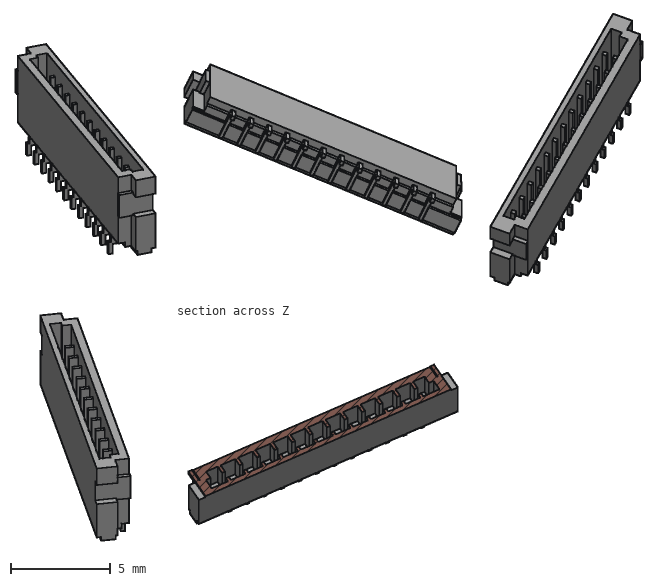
import cadquery as cq


length = 14.8
top_z = 5.0
base_z = 0.93
ear_depth = 1.07
housing_depth = 1.78
front_inset = 0.62

relief_top_z = 1.2
relief_back = 1.39

foot_back = 0.22
foot_front = 0.98
foot_bottom_z = 0.71

cavity_back = 0.31
cavity_step = 0.89
cavity_front = 1.35
wide_cavity_inset = 0.9
narrow_cavity_inset = 1.17
floor_thickness = 0.8
cavity_floor_z = base_z + floor_thickness

overall_depth = 1.8
tab_inset = 0.37
tab_thickness = 0.22
tab_center_z = 3.46
tab_height = 1.3
notch_height = 1.12

contact_count = 12
contact_row_length = 11.0
contact_pitch = contact_row_length / (contact_count - 1)
contact_width = 0.19
contact_drop = 0.81
contact_top_z = top_z - contact_drop
rear_contact_thickness = 0.22

lead_arm_front = 1.69
lead_arm_bottom_z = 0.53
lead_leg_thickness = 0.22
lead_leg_top_z = 0.68


def block(x_min, x_max, back, front, z_min, z_max):
    """Box between two X positions, two depths measured from the back face, and two heights."""
    return cq.Workplane("XY").box(
        x_max - x_min, front - back, z_max - z_min, centered=False
    ).translate((x_min, -front, z_min))


def centered_block(width, back, front, z_min, z_max, x=0):
    return block(x - width / 2, x + width / 2, back, front, z_min, z_max)


def make_housing():
    front_length = length - 2 * front_inset
    ears = centered_block(length, 0, ear_depth, base_z, top_z)
    front = centered_block(front_length, 0, housing_depth, base_z, top_z)
    relief = centered_block(front_length, relief_back, housing_depth, base_z, relief_top_z)
    foot = centered_block(length, foot_back, foot_front, foot_bottom_z, base_z)
    return ears.union(front).cut(relief).union(foot)


def make_cavity():
    wide = centered_block(
        length - 2 * wide_cavity_inset, cavity_back, cavity_step, cavity_floor_z, top_z
    )
    narrow = centered_block(
        length - 2 * narrow_cavity_inset, cavity_back, cavity_front, cavity_floor_z, top_z
    )
    return wide.union(narrow)


def make_left_notch():
    x_min = -length / 2
    z_min = tab_center_z - notch_height / 2
    return block(x_min, x_min + tab_inset, 0, ear_depth, z_min, z_min + notch_height)


def make_left_tab():
    x_min = -length / 2 + tab_inset
    z_min = tab_center_z - tab_height / 2
    return block(x_min, x_min + tab_thickness, 0, overall_depth, z_min, z_min + tab_height)


def make_contact(x):
    """Two upright contact blades in the cavity and the bent lead below them."""
    rear_blade_front = cavity_back + rear_contact_thickness
    rear_blade = centered_block(
        contact_width, cavity_back, rear_blade_front, cavity_floor_z, contact_top_z, x
    )
    front_blade = centered_block(
        contact_width, cavity_step, cavity_front, cavity_floor_z, contact_top_z, x
    )
    arm = centered_block(contact_width, foot_back, lead_arm_front, lead_arm_bottom_z, base_z, x)
    leg_back = overall_depth - lead_leg_thickness
    leg = centered_block(contact_width, leg_back, overall_depth, 0, lead_leg_top_z, x)
    return rear_blade.union(front_blade).union(arm).union(leg)


result = make_housing().cut(make_cavity())

left_notch = make_left_notch()
left_tab = make_left_tab()
result = result.cut(left_notch).cut(left_notch.mirror("YZ"))
result = result.union(left_tab).union(left_tab.mirror("YZ"))

for index in range(contact_count):
    contact_x = index * contact_pitch - contact_row_length / 2
    result = result.union(make_contact(contact_x))